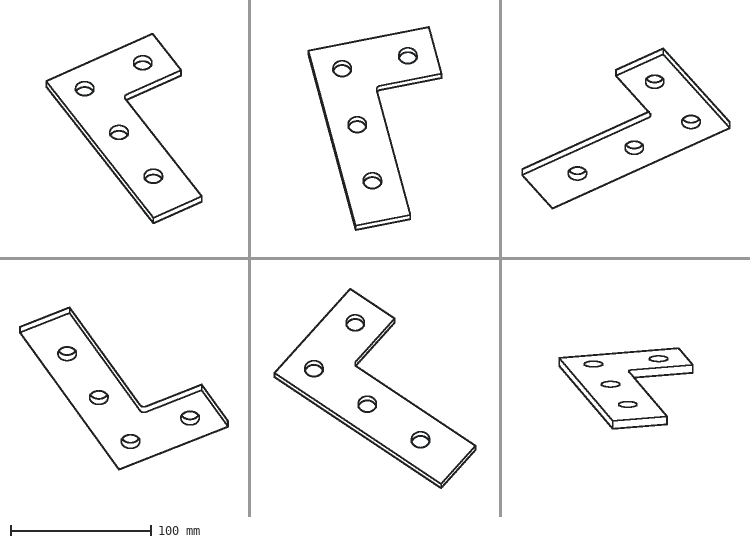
import cadquery as cq

length = 150.0
thickness = 6.0
arm_width = 40.0
inner_corner_radius = 3.0

hole_diameter = 13.0
hole_pitch = 48.0
holes_along_long_arm = 3
edge_to_hole = arm_width / 2
depth = arm_width + hole_pitch

outline = [
    (0, 0),
    (length, 0),
    (length, arm_width),
    (arm_width, arm_width),
    (arm_width, depth),
    (0, depth),
]
plate = cq.Workplane("XY").polyline(outline).close().extrude(thickness)

inner_corner = cq.selectors.NearestToPointSelector((arm_width, arm_width, thickness / 2))
plate = plate.edges("|Z").edges(inner_corner).fillet(inner_corner_radius)

hole_centers = [
    (edge_to_hole + i * hole_pitch, edge_to_hole)
    for i in range(holes_along_long_arm)
]
hole_centers.append((edge_to_hole, edge_to_hole + hole_pitch))
holes = cq.Workplane("XY").pushPoints(hole_centers).circle(hole_diameter / 2).extrude(thickness)

result = plate.cut(holes)